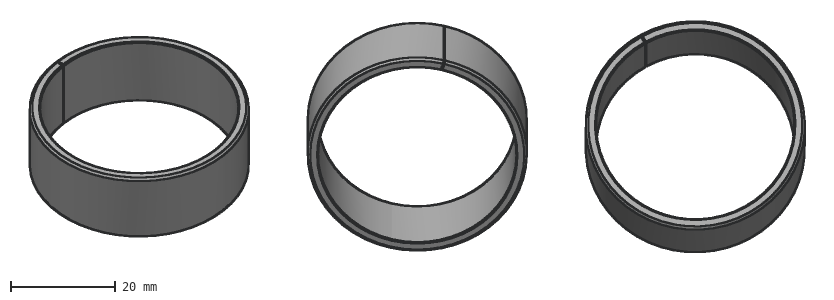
import cadquery as cq

outer_diameter = 42.0
wall = 2.0
height = 15.0
outer_chamfer = 0.5
inner_chamfer = 0.2
slit_width = 0.3

outer_radius = outer_diameter / 2
inner_radius = outer_radius - wall


def chamfered_ring():
    """Ring standing on Z = 0, with both rims chamfered inside and outside."""
    profile = [
        (inner_radius, inner_chamfer),
        (inner_radius + inner_chamfer, 0),
        (outer_radius - outer_chamfer, 0),
        (outer_radius, outer_chamfer),
        (outer_radius, height - outer_chamfer),
        (outer_radius - outer_chamfer, height),
        (inner_radius + inner_chamfer, height),
        (inner_radius, height - inner_chamfer),
    ]
    return cq.Workplane("XZ").polyline(profile).close().revolve(360, (0, 0, 0), (0, 1, 0))


def slit_cutter():
    """Thin slab through the -X wall, full height, with one face on the XZ plane."""
    return cq.Workplane("XY").box(
        outer_radius, slit_width, height, centered=False
    ).translate((-outer_radius, 0, 0))


result = chamfered_ring().cut(slit_cutter())